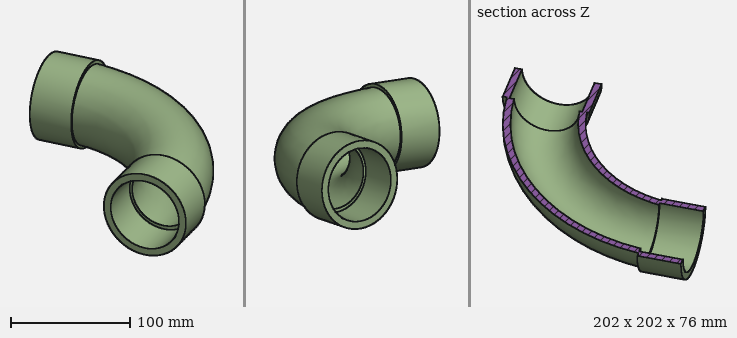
import cadquery as cq

overall_length = 202.0
socket_diameter = 76.0
socket_bore = 63.0
socket_length = 38.2

pipe_diameter = 69.9
pipe_bore = 56.5
bend_start = 24.2

axis_offset = overall_length - socket_diameter / 2
bend_radius = axis_offset - bend_start


def end_cylinder(diameter, length):
    """Cylinder from the -X open end into the part, along +X."""
    return cq.Workplane("YZ").center(axis_offset, 0).circle(diameter / 2).extrude(length)


def bend(diameter):
    """Quarter torus joining the two end axes."""
    return (
        cq.Workplane("YZ", origin=(bend_start, axis_offset, 0))
        .circle(diameter / 2)
        .revolve(90, (-bend_radius, 2, 0), (-bend_radius, 0, 0))
    )


def at_both_ends(solid):
    """The solid together with its copy at the -Y end, mirrored across the plane X = Y."""
    return solid.union(solid.rotate((0, 0, 0), (1, 1, 0), 180))


outside = bend(pipe_diameter).union(at_both_ends(end_cylinder(socket_diameter, socket_length)))
result = outside.cut(bend(pipe_bore)).cut(at_both_ends(end_cylinder(socket_bore, socket_length)))